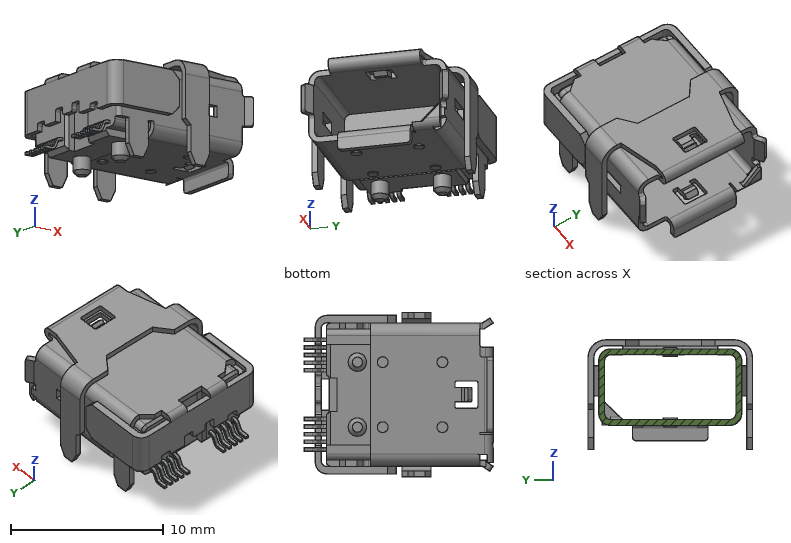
import cadquery as cq
import math

SHEET = 0.4
LENGTH = 12.4
MARGIN = 0.12

SHELL_HALF_WIDTH = 4.7
SHELL_CORNER = 0.8
SHELL_BOTTOM = 0.09
SHELL_REAR = 1.45
SHELL_FRONT = 11.52
TOP_REAR = 1.64
CORNER_CUT_END = 2.32
BOTTOM_CUT_END = 4.34
SIDE_BOTTOM = 1.04

CLIP_WIDTH = 10.8
CLIP_HALF_WIDTH = CLIP_WIDTH / 2
CLIP_TOP = 5.72
CLIP_BEND = 1.19
CLIP_REAR = 6.4
CLIP_FRONT = 8.32
CLIP_LEG_REAR = 6.81
FOLD_GAP = 0.2
FOLD_HALF_WIDTH = 3.12
FOLD_RADIUS = SHEET + FOLD_GAP / 2

LEG_TIP = -1.49
LEG_SHOULDER = -0.7
LEG_TAPER = 0.4

COVER_REAR = 0.72
COVER_HALF_WIDTH = 5.21
COVER_CORNER = 0.77
COVER_INNER_CORNER = 0.36
COVER_BOTTOM = 1.69
COVER_TOP = 4.67
WING_END = 6.04
WING_CHAMFER = 0.57

SHELL_TOP = CLIP_TOP - SHEET - FOLD_GAP
SHELL_MID_Z = (SHELL_TOP + SHELL_BOTTOM) / 2
SHELL_INNER_HALF_WIDTH = SHELL_HALF_WIDTH - SHEET
SHELL_INNER_TOP = SHELL_TOP - SHEET
SHELL_INNER_BOTTOM = SHELL_BOTTOM + SHEET


def block(x, y, z):
    """Box from three (low, high) ranges."""
    size = [high - low for low, high in (x, y, z)]
    return cq.Workplane("XY").box(*size, centered=False).translate((x[0], y[0], z[0]))


def plate_xz(points, y):
    """Outline in X and Z, extruded over the Y range."""
    return cq.Workplane("XZ", origin=(0, y[1], 0)).polyline(points).close().extrude(y[1] - y[0])


def plate_yz(points, x):
    """Outline in Y and Z, extruded over the X range."""
    return cq.Workplane("YZ", origin=(x[0], 0, 0)).polyline(points).close().extrude(x[1] - x[0])


def plate_xy(points, z):
    """Outline in X and Y, extruded over the Z range."""
    return cq.Workplane("XY", origin=(0, 0, z[0])).polyline(points).close().extrude(z[1] - z[0])


def both_sides(solid):
    """The solid together with its mirror image across the mid plane."""
    return solid.union(solid.mirror("XZ"))


def top_and_bottom(solid):
    """The solid together with its mirror image across the middle of the shell height."""
    return solid.union(solid.mirror("XY", (0, 0, SHELL_MID_Z)))


def tube(x, inset):
    """Rounded bar with the outline of the shell, moved inward by the inset."""
    return (
        block(
            x,
            (inset - SHELL_HALF_WIDTH, SHELL_HALF_WIDTH - inset),
            (SHELL_BOTTOM + inset, SHELL_TOP - inset),
        )
        .edges("|X")
        .fillet(SHELL_CORNER - inset)
    )


def leg(x, top, outer_y):
    """Solder leg on the +Y side with a tapered tip."""
    points = [
        (x[0], top),
        (x[0], LEG_SHOULDER),
        (x[0] + LEG_TAPER, LEG_TIP),
        (x[1] - LEG_TAPER, LEG_TIP),
        (x[1], LEG_SHOULDER),
        (x[1], top),
    ]
    return plate_xz(points, (outer_y - SHEET, outer_y))


SHELL_LEG = (CORNER_CUT_END, 3.87)
LEG_NOTCH_TOP = 1.1
LEG_NOTCH_CORNER = 0.12
REAR_CORNER = 0.27
CORNER_CUT_Y = 3.83
DIAGONAL_END_Y = 3.09
SLOT_X = (7.46, 9.46)
SLOT_Z = (2.23, 3.0)


def make_shell():
    rear_plane = SHELL_REAR - MARGIN
    outside = SHELL_HALF_WIDTH + MARGIN
    above = SHELL_TOP + MARGIN
    below = SHELL_BOTTOM - MARGIN

    rounded_plan = block(
        (SHELL_REAR, SHELL_FRONT), (-SHELL_HALF_WIDTH, SHELL_HALF_WIDTH), (SHELL_BOTTOM, SHELL_TOP)
    )
    rounded_plan = rounded_plan.edges("<X and |Z").fillet(REAR_CORNER)
    shell = tube((SHELL_REAR, SHELL_FRONT), 0).intersect(rounded_plan)
    shell = shell.cut(tube((rear_plane, SHELL_FRONT + MARGIN), SHEET))

    top_cut = [
        (rear_plane, 0),
        (TOP_REAR, 0),
        (TOP_REAR, DIAGONAL_END_Y),
        (CORNER_CUT_END, CORNER_CUT_Y),
        (CORNER_CUT_END, outside),
        (rear_plane, outside),
    ]
    shell = shell.cut(both_sides(plate_xy(top_cut, (SHELL_TOP - SHELL_CORNER, above))))

    full_width = (-outside, outside)
    shell = shell.cut(block((rear_plane, SHELL_LEG[1]), full_width, (below, SIDE_BOTTOM)))
    notch = block((SHELL_LEG[1], BOTTOM_CUT_END), full_width, (below, LEG_NOTCH_TOP))
    shell = shell.cut(notch.edges("|Y and >Z").fillet(LEG_NOTCH_CORNER))
    shell = shell.union(both_sides(leg(SHELL_LEG, SIDE_BOTTOM, SHELL_HALF_WIDTH)))

    return shell.cut(block(SLOT_X, full_width, SLOT_Z))


WINDOW_X = (9.9, 11.38)
WINDOW_HALF_WIDTH = 0.89
WINDOW_CORNER = 0.11
SPRING_HALF_WIDTH = 0.47
SPRING_BEND_X = 10.3
SPRING_VALLEY = (10.53, 5.01)
SPRING_RISE = 0.21
SPRING_CORNER = 0.15


def make_window():
    y = (-WINDOW_HALF_WIDTH, WINDOW_HALF_WIDTH)
    return block(WINDOW_X, y, (SHELL_BOTTOM - MARGIN, CLIP_TOP + MARGIN)).edges("|Z").fillet(WINDOW_CORNER)


def make_spring():
    valley_x, valley_z = SPRING_VALLEY
    tip_x = valley_x + SPRING_RISE
    tip_z = valley_z + SPRING_RISE
    tip_offset = SHEET * math.sqrt(0.5)
    points = [
        (WINDOW_X[0] - SHEET, SHELL_TOP),
        (SPRING_BEND_X, SHELL_TOP),
        SPRING_VALLEY,
        (tip_x, tip_z),
        (tip_x + tip_offset, tip_z - tip_offset),
        (valley_x + SHEET / 2, valley_z - SHEET),
        (valley_x - SHEET / 4, valley_z - SHEET),
        (SPRING_BEND_X - SHEET / 4, SHELL_INNER_TOP),
        (WINDOW_X[0] - SHEET, SHELL_INNER_TOP),
    ]
    spring = plate_xz(points, (-SPRING_HALF_WIDTH, SPRING_HALF_WIDTH))
    across_tip = cq.selectors.ParallelDirSelector(cq.Vector(1, 0, -1))
    return top_and_bottom(spring.edges(across_tip).fillet(SPRING_CORNER))


FLARE_BEND_X = 11.79
FLARE_Z = (2.02, 4.02)
FLARE_ANGLE = math.radians(33)
FLARE_CORNER = 0.17
STUB_X_END = 11.92
STUB_Z = (0.9, 1.5)
LIP_HALF_WIDTH = 2.48
LIP_BOTTOM = -0.92
LIP_CORNER = 0.24
LIP_BEND = 0.17
KEY_Y = (2.6, 4.46)
KEY_ROOT_Y = 3.93
KEY_SLOPE_Y = 3.12
KEY_TOP = 1.64
KEY_LAND = 0.15
KEY_CHAMFER = 0.14
ROOT_FILLET = 0.16


def make_side_flare():
    inner = SHELL_INNER_HALF_WIDTH
    run = LENGTH - FLARE_BEND_X
    rise = run * math.tan(FLARE_ANGLE)
    bend_shift = SHEET * math.tan(FLARE_ANGLE / 2)
    points = [
        (SHELL_FRONT - MARGIN, inner),
        (FLARE_BEND_X, inner),
        (LENGTH, inner + rise),
        (LENGTH - SHEET * math.sin(FLARE_ANGLE), inner + rise + SHEET * math.cos(FLARE_ANGLE)),
        (FLARE_BEND_X - bend_shift, SHELL_HALF_WIDTH),
        (SHELL_FRONT - MARGIN, SHELL_HALF_WIDTH),
    ]
    across_tip = cq.Vector(-math.sin(FLARE_ANGLE), math.cos(FLARE_ANGLE), 0)
    tip_corners = cq.selectors.ParallelDirSelector(across_tip)
    return both_sides(plate_xy(points, FLARE_Z).edges(tip_corners).fillet(FLARE_CORNER))


def bent_lip(y, end_z):
    """Bottom sheet running forward and bending up or down to end_z at the mouth."""
    bottom, top = SHELL_BOTTOM, SHELL_INNER_BOTTOM
    outer = SHEET + LIP_BEND
    down = end_z < bottom
    convex, concave = (top, bottom) if down else (bottom, top)
    turn = -1 if down else 1
    corner = math.sqrt(0.5)
    center_x = LENGTH - outer
    center_z = convex + turn * outer
    profile = (
        cq.Workplane("XZ", origin=(0, y[1], 0))
        .moveTo(SHELL_FRONT - MARGIN, convex)
        .lineTo(center_x, convex)
        .threePointArc(
            (center_x + outer * corner, center_z - turn * outer * corner), (LENGTH, center_z)
        )
        .lineTo(LENGTH, end_z)
        .lineTo(LENGTH - SHEET, end_z)
        .lineTo(LENGTH - SHEET, center_z)
        .threePointArc(
            (center_x + LIP_BEND * corner, center_z - turn * LIP_BEND * corner),
            (center_x, concave),
        )
        .lineTo(SHELL_FRONT - MARGIN, concave)
        .close()
    )
    return profile.extrude(y[1] - y[0])


def make_bottom_lip():
    lip = bent_lip((-LIP_HALF_WIDTH, LIP_HALF_WIDTH), LIP_BOTTOM)
    return lip.edges("<Z and |X").fillet(LIP_CORNER)


def make_key_lip():
    """Upturned lip beside the bottom lip on the +Y side, with a sloping inner edge."""
    lip = bent_lip(KEY_Y, KEY_TOP)
    slope = [
        (KEY_Y[0] - MARGIN, SHELL_INNER_BOTTOM),
        (KEY_SLOPE_Y, SHELL_INNER_BOTTOM),
        (KEY_Y[1] - KEY_LAND, KEY_TOP),
        (KEY_Y[1] - KEY_LAND, KEY_TOP + MARGIN),
        (KEY_Y[0] - MARGIN, KEY_TOP + MARGIN),
    ]
    lip = lip.cut(plate_yz(slope, (SHELL_FRONT - 2 * MARGIN, LENGTH + MARGIN)))
    beside_root = block(
        (SHELL_FRONT - 2 * MARGIN, LENGTH - SHEET),
        (KEY_ROOT_Y, KEY_Y[1] + MARGIN),
        (SHELL_BOTTOM - MARGIN, KEY_TOP + MARGIN),
    )
    lip = lip.cut(beside_root)
    sloped = cq.selectors.ParallelDirSelector(
        cq.Vector(0, KEY_Y[1] - KEY_LAND - KEY_SLOPE_Y, KEY_TOP - SHELL_INNER_BOTTOM)
    )
    return lip.edges(sloped).edges(">X").chamfer(KEY_CHAMFER)


def root_fillet():
    """Concave corner piece of sheet thickness, with its corner at the origin, in +X and +Y."""
    corner = block((0, ROOT_FILLET), (0, ROOT_FILLET), (0, SHEET))
    return corner.cut(cq.Workplane("XY").center(ROOT_FILLET, ROOT_FILLET).circle(ROOT_FILLET).extrude(SHEET))


def make_root_fillets():
    outward = root_fillet().translate((SHELL_FRONT, 0, 0))
    fold = both_sides(outward.translate((0, FOLD_HALF_WIDTH, SHELL_INNER_TOP)))
    lip = outward.mirror("XZ").translate((0, -LIP_HALF_WIDTH, SHELL_BOTTOM))

    above = outward.rotate((0, 0, 0), (1, 0, 0), 90).translate((0, SHELL_HALF_WIDTH, FLARE_Z[1]))
    flare_mid_z = (FLARE_Z[0] + FLARE_Z[1]) / 2
    flare = both_sides(above.union(above.mirror("XY", (0, 0, flare_mid_z))))
    return fold.union(lip).union(flare)


def make_stub():
    return block((SHELL_FRONT - MARGIN, STUB_X_END), (SHELL_INNER_HALF_WIDTH, SHELL_HALF_WIDTH), STUB_Z)


CLIP_LEG_STEP_Z = (1.13, 1.5)
CLIP_NOTCH_WIDE = 2.93
CLIP_NOTCH_NARROW = 2.05
CLIP_NOTCH_X = 7.54
CLIP_TAPER_START = 3.9
CLIP_TAPER_END_X = 11.25


def make_clip():
    step_bottom, step_top = CLIP_LEG_STEP_Z
    band_x = (CLIP_REAR, CLIP_FRONT)

    def arch(inset):
        half = CLIP_HALF_WIDTH - inset
        solid = block(band_x, (-half, half), (step_top, CLIP_TOP - inset))
        return solid.edges("|X and >Z").fillet(CLIP_BEND - inset)

    clip = arch(0).cut(arch(SHEET))
    notch = [
        (CLIP_REAR - MARGIN, 0),
        (CLIP_NOTCH_X, 0),
        (CLIP_NOTCH_X, CLIP_NOTCH_NARROW),
        (CLIP_REAR, CLIP_NOTCH_WIDE),
        (CLIP_REAR - MARGIN, CLIP_NOTCH_WIDE),
    ]
    clip = clip.cut(both_sides(plate_xy(notch, (CLIP_TOP - SHEET - MARGIN, CLIP_TOP + MARGIN))))

    step = [
        (CLIP_REAR, step_top),
        (CLIP_LEG_REAR, step_bottom),
        (CLIP_FRONT, step_bottom),
        (CLIP_FRONT, step_top),
    ]
    clip_leg = plate_xz(step, (CLIP_HALF_WIDTH - SHEET, CLIP_HALF_WIDTH))
    clip_leg = clip_leg.union(leg((CLIP_LEG_REAR, CLIP_FRONT), step_bottom, CLIP_HALF_WIDTH))
    clip = clip.union(both_sides(clip_leg))

    fold_x = LENGTH - FOLD_RADIUS
    tongue = [
        (CLIP_NOTCH_X, 0),
        (CLIP_NOTCH_X, CLIP_TAPER_START),
        (CLIP_FRONT, CLIP_TAPER_START),
        (CLIP_TAPER_END_X, FOLD_HALF_WIDTH),
        (fold_x, FOLD_HALF_WIDTH),
        (fold_x, 0),
    ]
    clip = clip.union(both_sides(plate_xy(tongue, (CLIP_TOP - SHEET, CLIP_TOP))))
    return clip.union(make_fold())


def make_fold():
    """U bend joining the clip to the front edge of the shell top."""
    fold_x = LENGTH - FOLD_RADIUS
    fold_z = CLIP_TOP - FOLD_RADIUS
    profile = (
        cq.Workplane("XZ", origin=(0, FOLD_HALF_WIDTH, 0))
        .moveTo(fold_x, CLIP_TOP)
        .threePointArc((LENGTH, fold_z), (fold_x, SHELL_INNER_TOP))
        .lineTo(SHELL_FRONT - MARGIN, SHELL_INNER_TOP)
        .lineTo(SHELL_FRONT - MARGIN, SHELL_TOP)
        .lineTo(fold_x, SHELL_TOP)
        .threePointArc((fold_x + FOLD_GAP / 2, fold_z), (fold_x, CLIP_TOP - SHEET))
        .close()
    )
    return profile.extrude(2 * FOLD_HALF_WIDTH)


TAB_Y = (1.02, 2.5)
TAB_BEND = 0.43
COVER_EDGE = 1.86
BUMP_Y = (2.53, 3.32)
BUMP_TOP = 2.2
CENTER_HALF_WIDTH = 1.3
CENTER_TOP = 2.69
CENTER_TAB_HALF_WIDTH = 0.53
CENTER_TAB_BOTTOM = 2.13
COVER_FILLET = 0.16


def make_cover():
    height = (COVER_BOTTOM, COVER_TOP)
    cover = block((COVER_REAR, WING_END), (-COVER_HALF_WIDTH, COVER_HALF_WIDTH), height)
    cover = cover.edges("|Z and <X").fillet(COVER_CORNER).edges("|Y and >X").chamfer(WING_CHAMFER)
    inside_rear = COVER_REAR + SHEET
    inside = block(
        (inside_rear, WING_END + MARGIN),
        (-SHELL_HALF_WIDTH, SHELL_HALF_WIDTH),
        (COVER_BOTTOM - MARGIN, COVER_TOP + MARGIN),
    )
    cover = cover.cut(inside.edges("|Z and <X").fillet(COVER_INNER_CORNER))

    wall_x = (COVER_REAR - MARGIN, inside_rear + MARGIN)
    below = COVER_BOTTOM - 2 * COVER_FILLET
    cover = cover.cut(block(wall_x, (-BUMP_Y[0], BUMP_Y[0]), (below, COVER_EDGE)))
    bump = block(wall_x, BUMP_Y, (below, BUMP_TOP)).edges("|X").fillet(COVER_FILLET)
    cover = cover.cut(both_sides(bump))
    center = [
        (-CENTER_HALF_WIDTH, below),
        (-CENTER_HALF_WIDTH, CENTER_TOP),
        (-CENTER_TAB_HALF_WIDTH, CENTER_TOP),
        (-CENTER_TAB_HALF_WIDTH, CENTER_TAB_BOTTOM),
        (CENTER_TAB_HALF_WIDTH, CENTER_TAB_BOTTOM),
        (CENTER_TAB_HALF_WIDTH, CENTER_TOP),
        (CENTER_HALF_WIDTH, CENTER_TOP),
        (CENTER_HALF_WIDTH, below),
    ]
    cover = cover.cut(plate_yz(center, wall_x).edges("|X").fillet(COVER_FILLET))

    tab = block((COVER_REAR, TOP_REAR), TAB_Y, (COVER_TOP, SHELL_TOP))
    tab = tab.edges("|Y and <X and >Z").fillet(TAB_BEND)
    tab_root = block((TOP_REAR, CORNER_CUT_END), TAB_Y, (SHELL_INNER_TOP, SHELL_TOP))
    return cover.union(both_sides(tab.union(tab_root)))


BASE_HALF_WIDTH = 3.3
BASE_CHAMFER = (0.27, 0.33)
HOUSING_CHAMFER = 0.19
GROOVE_HALF_WIDTH = 1.3
GROOVE_FLOOR_HALF_WIDTH = 1.1
GROOVE_SLOPE_X = 1.69
GROOVE_FLOOR_X = 2.13
PEG_X = 3.48
PEG_Y = 2.13
PEG_DIAMETER = 1.2
PEG_BOTTOM = -1.19
PEG_CHAMFER = 0.27
DIMPLE_X = (5.15, 9.06)
DIMPLE_DIAMETER = 0.71


def make_housing():
    body = tube((SHELL_REAR, BOTTOM_CUT_END), SHEET)
    lower_part = body.intersect(
        block(
            (SHELL_REAR, BOTTOM_CUT_END),
            (-SHELL_HALF_WIDTH, SHELL_HALF_WIDTH),
            (SHELL_BOTTOM, SHELL_TOP - SHELL_CORNER),
        )
    )
    housing = body.faces("<X").chamfer(HOUSING_CHAMFER).union(lower_part)
    chamfer_x, chamfer_z = BASE_CHAMFER
    base = [
        (SHELL_REAR, SHELL_INNER_BOTTOM + SHEET),
        (SHELL_REAR, chamfer_z),
        (SHELL_REAR + chamfer_x, 0),
        (BOTTOM_CUT_END, 0),
        (BOTTOM_CUT_END, SHELL_INNER_BOTTOM + SHEET),
    ]
    housing = housing.union(plate_xz(base, (-BASE_HALF_WIDTH, BASE_HALF_WIDTH)))
    groove = [
        (SHELL_REAR, 0),
        (SHELL_REAR, GROOVE_HALF_WIDTH),
        (GROOVE_SLOPE_X, GROOVE_FLOOR_HALF_WIDTH),
        (GROOVE_FLOOR_X, GROOVE_FLOOR_HALF_WIDTH),
        (GROOVE_FLOOR_X, 0),
    ]
    return housing.cut(both_sides(plate_xy(groove, (-MARGIN, SHELL_TOP))))


def make_pegs():
    peg = cq.Workplane("XY", origin=(PEG_X, PEG_Y, PEG_BOTTOM))
    peg = peg.circle(PEG_DIAMETER / 2).extrude(SHELL_INNER_BOTTOM - PEG_BOTTOM)
    return both_sides(peg.faces("<Z").chamfer(PEG_CHAMFER))


def make_dimples():
    """Round standoffs under the shell bottom, in line with the pegs."""
    centers = [(x, side * PEG_Y) for x in DIMPLE_X for side in (1, -1)]
    return cq.Workplane("XY").pushPoints(centers).circle(DIMPLE_DIAMETER / 2).extrude(SHELL_BOTTOM + MARGIN)


LEAD_WIDTH = 0.25
LEAD_THICKNESS = 0.19
LEAD_FIRST_Y = 1.6
LEAD_LAST_Y = 3.6
LEADS_PER_SIDE = 5
LEAD_PITCH = (LEAD_LAST_Y - LEAD_FIRST_Y) / (LEADS_PER_SIDE - 1)
LEAD_FOOT_END = 0.75
LEAD_KNEE = 1.08
LEAD_TOP = 0.9
LEAD_BEND = 0.21


def make_leads():
    embedded = SHELL_REAR + SHEET
    rise = LEAD_TOP - LEAD_THICKNESS
    angle = math.atan2(rise, LEAD_KNEE - LEAD_FOOT_END)
    shift = LEAD_THICKNESS / 2 * math.tan(angle / 2)
    points = [
        (0, 0),
        (LEAD_FOOT_END + shift, 0),
        (LEAD_KNEE + shift, rise),
        (embedded, rise),
        (embedded, LEAD_TOP),
        (LEAD_KNEE - shift, LEAD_TOP),
        (LEAD_FOOT_END - shift, LEAD_THICKNESS),
        (0, LEAD_THICKNESS),
    ]
    lead = plate_xz(points, (-LEAD_WIDTH / 2, LEAD_WIDTH / 2))
    bends = (
        (LEAD_FOOT_END - shift, LEAD_THICKNESS, LEAD_BEND),
        (LEAD_KNEE + shift, rise, LEAD_BEND),
        (LEAD_FOOT_END + shift, 0, LEAD_BEND + LEAD_THICKNESS),
        (LEAD_KNEE - shift, LEAD_TOP, LEAD_BEND + LEAD_THICKNESS),
    )
    for x, z, radius in bends:
        lead = lead.edges(cq.selectors.NearestToPointSelector((x, 0, z))).fillet(radius)
    leads = cq.Workplane("XY")
    for index in range(LEADS_PER_SIDE):
        leads = leads.union(lead.translate((0, LEAD_FIRST_Y + index * LEAD_PITCH, 0)))
    return both_sides(leads)


result = make_shell().union(make_clip()).cut(make_window())
for feature in (
    make_spring,
    make_side_flare,
    make_root_fillets,
    make_stub,
    make_bottom_lip,
    make_key_lip,
    make_cover,
    make_housing,
    make_pegs,
    make_dimples,
    make_leads,
):
    result = result.union(feature())